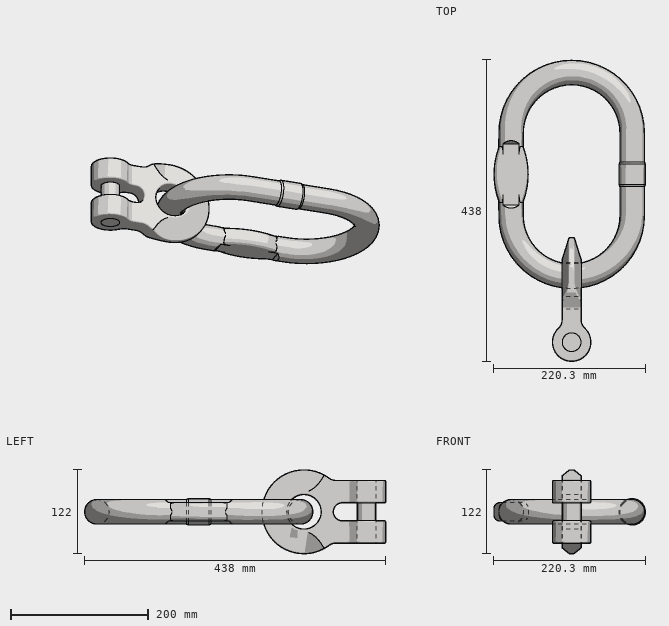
import cadquery as cq
import math

BAR_DIAMETER = 36.0
BEND_RADIUS = 88.0
STRAIGHT_LENGTH = 120.0
WELD_DIAMETER = 38.5
WELD_LENGTH = 36.0
WELD_TAPER = 3.0

GRIP_WIDTH = 50.0
GRIP_THICKNESS = 27.0
GRIP_LENGTH = 81.5
GRIP_SIDE_RADIUS = 111.5
GRIP_EDGE_FILLET = 8.8
FLAT_LENGTH = 88.5
FLAT_RAMP = 5.0

RING_DIAMETER = 122.0
RING_HOLE_DIAMETER = 50.0
SHACKLE_THICKNESS = 28.0
TAPER_START_RADIUS = 29.0
RIM_THICKNESS = 8.0
FLARE_RADIUS = 61.5
ARMS_HEIGHT = 91.5
NECK_FILLET = 17.5
EYE_DIAMETER = 56.0
EYE_FILLET = 15.8
SLOT_HEIGHT = 26.0
SLOT_TO_RING = 43.0
RING_TO_PIN = 91.0
EDGE_FILLET = 2.0

PIN_DIAMETER = 27.0

RING_Y = -153.0
PIN_Y = RING_Y - RING_TO_PIN

bar_radius = BAR_DIAMETER / 2
half_straight = STRAIGHT_LENGTH / 2
ring_radius = RING_DIAMETER / 2
half_thickness = SHACKLE_THICKNESS / 2
eye_radius = EYE_DIAMETER / 2
half_arms = ARMS_HEIGHT / 2
taper_slope = (half_thickness - RIM_THICKNESS / 2) / (ring_radius - TAPER_START_RADIUS)
CLEAR = 44.0
TOUCH_TOLERANCE = 0.005


def make_bar():
    path = (
        cq.Workplane("XY")
        .moveTo(-BEND_RADIUS, -half_straight)
        .lineTo(-BEND_RADIUS, half_straight)
        .threePointArc((0, half_straight + BEND_RADIUS), (BEND_RADIUS, half_straight))
        .lineTo(BEND_RADIUS, -half_straight)
        .threePointArc((0, -half_straight - BEND_RADIUS), (-BEND_RADIUS, -half_straight))
        .close()
    )
    section = cq.Workplane("XZ", origin=(-BEND_RADIUS, -half_straight, 0)).circle(bar_radius)
    return section.sweep(path)


def make_weld():
    half_length = WELD_LENGTH / 2
    half_crest = half_length - WELD_TAPER
    weld_radius = WELD_DIAMETER / 2
    return (
        cq.Workplane("XY")
        .moveTo(0, -half_length)
        .lineTo(bar_radius, -half_length)
        .lineTo(weld_radius, -half_crest)
        .lineTo(weld_radius, half_crest)
        .lineTo(bar_radius, half_length)
        .lineTo(0, half_length)
        .close()
        .revolve(360, (0, 0), (0, 1))
        .translate((BEND_RADIUS, 0, 0))
    )


def make_flat_cutters():
    """Material to remove above and below the grip, leaving the flats and their ramps."""
    depth = bar_radius - GRIP_THICKNESS / 2
    half_flat = FLAT_LENGTH / 2
    run_out = half_flat + 2 * FLAT_RAMP
    upper = (
        cq.Workplane("YZ", origin=(-BEND_RADIUS, 0, GRIP_THICKNESS / 2))
        .polyline([(-half_flat, 0), (half_flat, 0), (run_out, 2 * depth), (-run_out, 2 * depth)])
        .close()
        .extrude(bar_radius, both=True)
    )
    return upper.union(upper.mirror("XY"))


def make_grip_plate():
    half_width = GRIP_WIDTH / 2
    half_length = GRIP_LENGTH / 2
    sagitta = GRIP_SIDE_RADIUS - math.sqrt(GRIP_SIDE_RADIUS**2 - half_length**2)
    half_end = half_width - sagitta
    return (
        cq.Workplane("XY")
        .moveTo(half_end, -half_length)
        .threePointArc((half_width, 0), (half_end, half_length))
        .lineTo(-half_end, half_length)
        .threePointArc((-half_width, 0), (-half_end, -half_length))
        .close()
        .extrude(GRIP_THICKNESS / 2, both=True)
        .edges("%CIRCLE")
        .fillet(GRIP_EDGE_FILLET)
        .translate((-BEND_RADIUS, 0, 0))
    )


def make_link():
    bar = make_bar().union(make_weld()).cut(make_flat_cutters())
    return bar.union(make_grip_plate()).solids()


def make_ring_and_arms():
    """Ring and arms seen along X, extruded beyond the width of the eyes."""
    neck_y = math.sqrt((ring_radius + NECK_FILLET) ** 2 - (half_arms + NECK_FILLET) ** 2)
    neck_z = half_arms + NECK_FILLET
    to_tangent = ring_radius / (ring_radius + NECK_FILLET)
    tangent_y = neck_y * to_tangent
    tangent_z = neck_z * to_tangent
    mid_angle = (math.atan2(neck_z, neck_y) + math.pi / 2) / 2
    mid_y = neck_y - NECK_FILLET * math.cos(mid_angle)
    mid_z = neck_z - NECK_FILLET * math.sin(mid_angle)
    end_y = RING_TO_PIN + eye_radius + CLEAR
    return (
        cq.Workplane("YZ", origin=(0, RING_Y, 0))
        .moveTo(-end_y, -half_arms)
        .lineTo(-end_y, half_arms)
        .lineTo(-neck_y, half_arms)
        .threePointArc((-mid_y, mid_z), (-tangent_y, tangent_z))
        .threePointArc((ring_radius, 0), (-tangent_y, -tangent_z))
        .threePointArc((-mid_y, -mid_z), (-neck_y, -half_arms))
        .close()
        .extrude(CLEAR, both=True)
    )


def make_plan_outline():
    """Straight stem running into the round eyes, seen along Z."""
    center_x = half_thickness + EYE_FILLET
    center_y = math.sqrt((eye_radius + EYE_FILLET) ** 2 - center_x**2)
    to_tangent = eye_radius / (eye_radius + EYE_FILLET)
    tangent_x = center_x * to_tangent
    tangent_y = center_y * to_tangent
    mid_angle = math.atan2(center_y, center_x) / 2
    mid_x = center_x - EYE_FILLET * math.cos(mid_angle)
    mid_y = center_y - EYE_FILLET * math.sin(mid_angle)
    far_y = RING_TO_PIN + ring_radius
    return (
        cq.Workplane("XY", origin=(0, PIN_Y, -ring_radius))
        .moveTo(-half_thickness, far_y)
        .lineTo(-half_thickness, center_y)
        .threePointArc((-mid_x, mid_y), (-tangent_x, tangent_y))
        .threePointArc((0, -eye_radius), (tangent_x, tangent_y))
        .threePointArc((mid_x, mid_y), (half_thickness, center_y))
        .lineTo(half_thickness, far_y)
        .close()
        .extrude(RING_DIAMETER)
    )


def make_slot():
    slot_radius = SLOT_HEIGHT / 2
    end_y = RING_TO_PIN + eye_radius + 2 * CLEAR
    straight_y = SLOT_TO_RING + slot_radius
    return (
        cq.Workplane("YZ", origin=(0, RING_Y, 0))
        .moveTo(-end_y, -slot_radius)
        .lineTo(-straight_y, -slot_radius)
        .threePointArc((-SLOT_TO_RING, 0), (-straight_y, slot_radius))
        .lineTo(-end_y, slot_radius)
        .close()
        .extrude(CLEAR, both=True)
    )


def make_ring_hole():
    return (
        cq.Workplane("YZ", origin=(0, RING_Y, 0))
        .circle(RING_HOLE_DIAMETER / 2)
        .extrude(CLEAR, both=True)
    )


def make_side_outline():
    return make_ring_and_arms().cut(make_slot()).cut(make_ring_hole())


def make_taper_cone():
    """Half cone to remove from the +X side, on the half of the ring away from the arms."""
    outer_radius = TAPER_START_RADIUS + CLEAR
    outer_x = half_thickness - taper_slope * CLEAR
    clear_x = half_thickness + CLEAR
    return (
        cq.Workplane("XY", origin=(0, RING_Y, 0))
        .moveTo(half_thickness, TAPER_START_RADIUS)
        .lineTo(outer_x, outer_radius)
        .lineTo(clear_x, outer_radius)
        .lineTo(clear_x, TAPER_START_RADIUS)
        .close()
        .revolve(180, (0, 0), (1, 0))
        .rotate((0, RING_Y, 0), (1, RING_Y, 0), -90)
    )


def make_taper_flare():
    """Material to remove at +X and +Z, where the taper curves out to the full stem."""
    quarter = FLARE_RADIUS * math.sqrt(0.5)
    outline = (
        cq.Workplane("XY", origin=(half_thickness, RING_Y, TAPER_START_RADIUS))
        .threePointArc((FLARE_RADIUS - quarter, -quarter), (FLARE_RADIUS, -FLARE_RADIUS))
        .lineTo(FLARE_RADIUS, 0)
        .close()
    )
    lean = cq.Vector(-taper_slope * CLEAR, 0, CLEAR)
    return cq.Workplane(cq.Solid.extrudeLinear(outline.val(), [], lean))


def taper_ring(body):
    flare = make_taper_flare()
    for cutter in (make_taper_cone(), flare, flare.mirror("XY")):
        body = body.cut(cutter).cut(cutter.mirror("YZ"))
    return body


def round_outline_edges(body, outline):
    """Fillet every edge that follows the side outline, leaving the taper creases sharp."""
    outline_skin = outline.val().Shells()[0]

    def follows_outline(edge):
        middle = cq.Vertex.makeVertex(*edge.positionAt(0.5).toTuple())
        return outline_skin.distance(middle) < TOUCH_TOLERANCE

    return body.edges("not |X").filter(follows_outline).fillet(EDGE_FILLET)


def make_shackle():
    outline = make_side_outline()
    body = taper_ring(outline.intersect(make_plan_outline()))
    return round_outline_edges(body, outline).cut(make_pin()).solids()


def make_pin():
    return (
        cq.Workplane("XY", origin=(0, PIN_Y, -half_arms))
        .circle(PIN_DIAMETER / 2)
        .extrude(ARMS_HEIGHT)
    )


link = make_link()
shackle = make_shackle()
pin = make_pin()

result = cq.Compound.makeCompound([link.val(), shackle.val(), pin.val()])